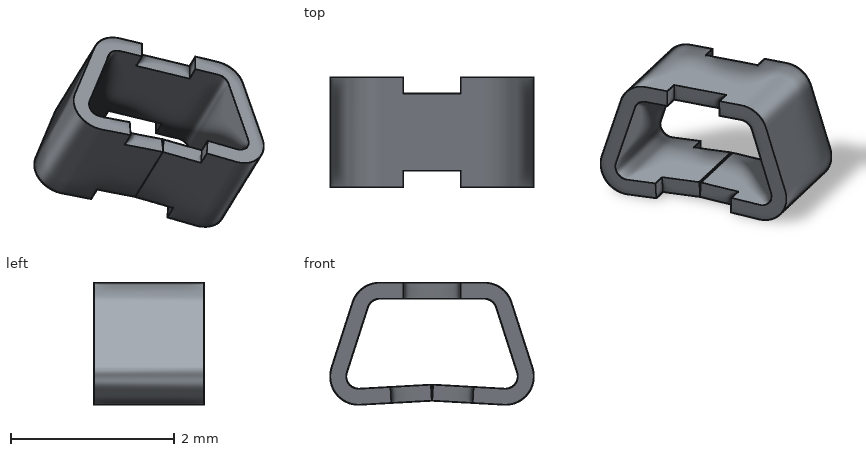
import cadquery as cq
import math

width = 2.5
depth = 1.35
height = 1.5
wall = 0.2

bend_radius = 0.35
top_bend_x = 0.642
floor_tilt = 3.2
seam_gap = 0.0012

roof_notch_width = 0.7
roof_notch_depth = 0.2
floor_notch_half = 0.5
floor_notch_depth = 0.2

bottom_bend = (width / 2 - bend_radius, bend_radius)
top_bend = (top_bend_x, height - bend_radius)
side_tilt = math.degrees(math.atan2(bottom_bend[0] - top_bend[0], top_bend[1] - bottom_bend[1]))
floor_angle = -90 - floor_tilt


def on_bend(centre, radius, angle):
    """Point on a bend circle, angle in degrees from +X."""
    a = math.radians(angle)
    return (centre[0] + radius * math.cos(a), centre[1] + radius * math.sin(a))


floor_run = on_bend(bottom_bend, bend_radius, floor_angle)[0] - seam_gap / 2
floor_length = floor_run / math.cos(math.radians(floor_tilt))


def floor_point(along, radius):
    """Point on the right floor, at a distance from its bend tangent towards the seam."""
    x, z = on_bend(bottom_bend, radius, floor_angle)
    t = math.radians(floor_tilt)
    return (x - along * math.cos(t), z + along * math.sin(t))


def right_half():
    """Right half of the strip, bent from the roof middle round to the seam."""
    inner_radius = bend_radius - wall
    top_mid = (90 + side_tilt) / 2
    bottom_mid = (side_tilt + floor_angle) / 2
    return (
        cq.Workplane("XZ", origin=(0, depth / 2, 0))
        .moveTo(0, height)
        .lineTo(*on_bend(top_bend, bend_radius, 90))
        .threePointArc(on_bend(top_bend, bend_radius, top_mid), on_bend(top_bend, bend_radius, side_tilt))
        .lineTo(*on_bend(bottom_bend, bend_radius, side_tilt))
        .threePointArc(
            on_bend(bottom_bend, bend_radius, bottom_mid), on_bend(bottom_bend, bend_radius, floor_angle)
        )
        .lineTo(*floor_point(floor_length, bend_radius))
        .lineTo(*floor_point(floor_length, inner_radius))
        .lineTo(*on_bend(bottom_bend, inner_radius, floor_angle))
        .threePointArc(
            on_bend(bottom_bend, inner_radius, bottom_mid), on_bend(bottom_bend, inner_radius, side_tilt)
        )
        .lineTo(*on_bend(top_bend, inner_radius, side_tilt))
        .threePointArc(on_bend(top_bend, inner_radius, top_mid), on_bend(top_bend, inner_radius, 90))
        .lineTo(0, height - wall)
        .close()
        .extrude(depth)
    )


def roof_notch(side):
    return cq.Workplane("XY").box(roof_notch_width, 2 * roof_notch_depth, 2 * wall).translate(
        (0, side * depth / 2, height - wall / 2)
    )


def floor_notch(side):
    """Cutter for the right half floor, with its end square to the tilted floor."""
    margin = wall / 2
    start = floor_length - floor_notch_half
    end = floor_length + margin
    outer = bend_radius + margin
    inner = bend_radius - wall - margin
    return (
        cq.Workplane("XZ", origin=(0, side * depth / 2 + floor_notch_depth, 0))
        .polyline(
            [floor_point(start, outer), floor_point(end, outer), floor_point(end, inner), floor_point(start, inner)]
        )
        .close()
        .extrude(2 * floor_notch_depth)
    )


half = right_half()
for side in (-1, 1):
    half = half.cut(floor_notch(side))

result = half.union(half.mirror("YZ"))
for side in (-1, 1):
    result = result.cut(roof_notch(side))